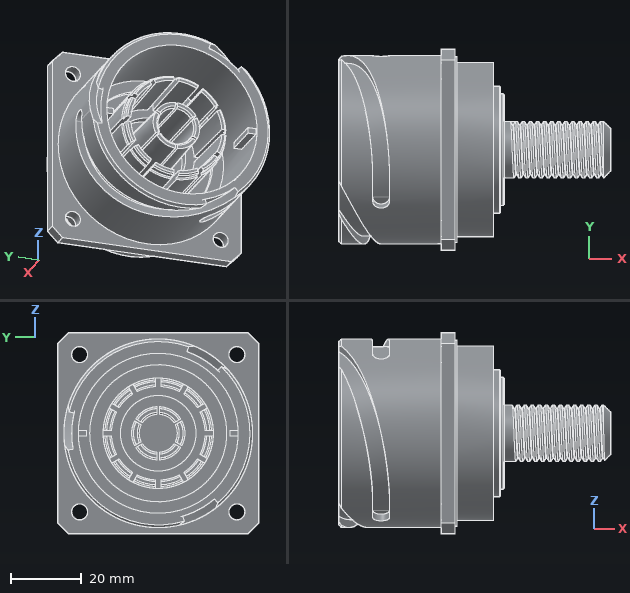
import cadquery as cq
import math

TOTAL_LENGTH = 77.0
SHELL_RADIUS = 26.7
SHELL_CHAMFER = 0.8
SHELL_BORE_RADIUS = 22.6
SHELL_BORE_DEPTH = 27.7
FLOOR_RECESS_RADIUS = 19.4
FLOOR_DEPTH = 29.25

FLANGE_START = 28.95
FLANGE_END = 32.95
FLANGE_SIZE = 57.0
FLANGE_CORNER_CHAMFER = 3.1
MOUNT_HOLE_SPACING = 44.5
MOUNT_HOLE_DIAMETER = 4.5

FLANGE_LIP_RADIUS = 26.3
FLANGE_LIP_END = 33.5
REAR_RADIUS = 24.7
REAR_END = 43.8
COLLAR_RADIUS = 18.0
COLLAR_END = 45.7
COLLAR_CHAMFER = 0.2
NUT_FACE_RADIUS = 15.9
NUT_FACE_END = 46.9
NUT_FACE_CHAMFER = 0.4

STUD_RADIUS = 8.0
STUD_CHAMFER = 2.0
THREAD_PITCH = 2.0
THREAD_DEPTH = 0.9
THREAD_ROOT_WIDTH = 0.2
THREAD_MOUTH_WIDTH = 1.4
THREAD_START = 49.3
THREAD_TURNS = 13
THREAD_OVERCUT = 0.2

SLOT_COUNT = 3
SLOT_WIDTH = 4.8
SLOT_FLOOR_RADIUS = 24.5
SLOT_TOP_RADIUS = 28.5
SLOT_END_X = 12.0
SLOT_END_ANGLE = 123.0
SLOT_LEVEL_ANGLE = 14.0
SLOT_MOUTH_ANGLE = 122.0
SLOT_TOTAL_ANGLE = 144.0
SLOT_STEPS = 36

KEY_START = 1.0
KEY_LENGTH = 11.7
KEY_WIDTH = 1.7
KEY_HEIGHT = 2.4

FINGER_COUNT = 12
FINGER_GAP = 1.55
FINGER_TIP = 4.6
FINGER_BASE = 26.2
FINGER_RADIUS = 15.6
FINGER_BEAD_RADIUS = 15.1
FINGER_BEAD_END = 6.9
FINGER_TIP_RADIUS = 14.6
FINGER_TIP_CHAMFER = 0.5
FINGER_TIP_BORE_RADIUS = 13.7
FINGER_BASE_BORE_RADIUS = 13.25
BOSS_BORE_RADIUS = 10.7

TUBE_GAP_COUNT = 6
TUBE_GAP = 0.7
TUBE_TIP = 4.6
TUBE_BASE_RADIUS = 7.55
TUBE_TIP_RADIUS = 7.0
TUBE_MOUTH_RADIUS = 5.9
TUBE_BORE_RADIUS = 5.4


def revolve_about_x(points):
    """Solid of revolution about X of a closed (x, radius) outline."""
    return cq.Workplane("XY").polyline(points).close().revolve(360, (0, 0, 0), (1, 0, 0))


def cylinder_x(radius, start, end):
    """Cylinder along the X axis."""
    return cq.Workplane("YZ", origin=(start, 0, 0)).circle(radius).extrude(end - start)


def radial_gaps(count, width, outer_radius, start, end):
    """Slabs from the axis outward, evenly spaced about X, the first one toward +Z."""
    slab = cq.Workplane("XY").box(end - start, width, outer_radius, centered=(False, True, False))
    slab = slab.translate((start, 0, 0))
    gaps = slab
    for i in range(1, count):
        gaps = gaps.union(slab.rotate((0, 0, 0), (1, 0, 0), i * 360 / count))
    return gaps


def make_shell_and_stud():
    outline = [
        (SHELL_BORE_DEPTH, 0),
        (SHELL_BORE_DEPTH, SHELL_BORE_RADIUS),
        (0, SHELL_BORE_RADIUS),
        (0, SHELL_RADIUS - SHELL_CHAMFER),
        (SHELL_CHAMFER, SHELL_RADIUS),
        (FLANGE_END, SHELL_RADIUS),
        (FLANGE_END, FLANGE_LIP_RADIUS),
        (FLANGE_LIP_END, FLANGE_LIP_RADIUS),
        (FLANGE_LIP_END, REAR_RADIUS),
        (REAR_END, REAR_RADIUS),
        (REAR_END, COLLAR_RADIUS),
        (COLLAR_END - COLLAR_CHAMFER, COLLAR_RADIUS),
        (COLLAR_END, COLLAR_RADIUS - COLLAR_CHAMFER),
        (COLLAR_END, NUT_FACE_RADIUS),
        (NUT_FACE_END - NUT_FACE_CHAMFER, NUT_FACE_RADIUS),
        (NUT_FACE_END, NUT_FACE_RADIUS - NUT_FACE_CHAMFER),
        (NUT_FACE_END, STUD_RADIUS),
        (TOTAL_LENGTH - STUD_CHAMFER, STUD_RADIUS),
        (TOTAL_LENGTH, STUD_RADIUS - STUD_CHAMFER),
        (TOTAL_LENGTH, 0),
    ]
    recess = cylinder_x(FLOOR_RECESS_RADIUS, SHELL_BORE_DEPTH, FLOOR_DEPTH)
    return revolve_about_x(outline).cut(recess)


def make_flange():
    plate = (
        cq.Workplane("YZ", origin=(FLANGE_START, 0, 0))
        .rect(FLANGE_SIZE, FLANGE_SIZE)
        .circle(SHELL_BORE_RADIUS)
        .extrude(FLANGE_END - FLANGE_START)
        .edges("|X and (>Y or <Y)")
        .chamfer(FLANGE_CORNER_CHAMFER)
    )
    holes = (
        cq.Workplane("YZ", origin=(FLANGE_START, 0, 0))
        .rect(MOUNT_HOLE_SPACING, MOUNT_HOLE_SPACING, forConstruction=True)
        .vertices()
        .circle(MOUNT_HOLE_DIAMETER / 2)
        .extrude(FLANGE_END - FLANGE_START)
    )
    return plate.cut(holes)


def make_keys():
    inner = SHELL_BORE_RADIUS - KEY_HEIGHT
    outer = (SHELL_BORE_RADIUS + SLOT_FLOOR_RADIUS) / 2
    key = cq.Workplane("XY").box(KEY_LENGTH, outer - inner, KEY_WIDTH, centered=(False, False, True))
    key = key.translate((KEY_START, inner, 0))
    return key.union(key.mirror("XZ"))


def make_outer_contact():
    outline = [
        (FLOOR_DEPTH, BOSS_BORE_RADIUS),
        (FINGER_BASE, BOSS_BORE_RADIUS),
        (FINGER_BASE, FINGER_BASE_BORE_RADIUS),
        (FINGER_TIP, FINGER_TIP_BORE_RADIUS),
        (FINGER_TIP, FINGER_TIP_RADIUS),
        (FINGER_TIP + FINGER_TIP_CHAMFER, FINGER_BEAD_RADIUS),
        (FINGER_BEAD_END, FINGER_BEAD_RADIUS),
        (FINGER_BEAD_END, FINGER_RADIUS),
        (FLOOR_DEPTH, FINGER_RADIUS),
    ]
    gaps = radial_gaps(FINGER_COUNT, FINGER_GAP, FLOOR_RECESS_RADIUS, FINGER_TIP, FINGER_BASE)
    return revolve_about_x(outline).cut(gaps)


def make_centre_contact():
    mouth_bevel = TUBE_MOUTH_RADIUS - TUBE_BORE_RADIUS
    outline = [
        (FLOOR_DEPTH, TUBE_BORE_RADIUS),
        (TUBE_TIP + mouth_bevel, TUBE_BORE_RADIUS),
        (TUBE_TIP, TUBE_MOUTH_RADIUS),
        (TUBE_TIP, TUBE_TIP_RADIUS),
        (FLOOR_DEPTH, TUBE_BASE_RADIUS),
    ]
    gaps = radial_gaps(TUBE_GAP_COUNT, TUBE_GAP, BOSS_BORE_RADIUS, TUBE_TIP, FLOOR_DEPTH)
    return revolve_about_x(outline).cut(gaps)


def point_about_x(x, radius, angle):
    return cq.Vector(x, radius * math.cos(angle), radius * math.sin(angle))


def ruled_bar(corners):
    """Four-sided solid stretched between four long edges, given in order around its section.

    Each long edge is a list of curves that follow one another.
    """
    faces = []
    for i in range(4):
        for one_side, other_side in zip(corners[i - 1], corners[i]):
            faces.append(cq.Face.makeRuledSurface(one_side, other_side))
    start_points = [curves[0].startPoint() for curves in corners]
    end_points = [curves[-1].endPoint() for curves in corners]
    for ends in (start_points, end_points):
        first_line = cq.Edge.makeLine(ends[0], ends[1])
        second_line = cq.Edge.makeLine(ends[3], ends[2])
        faces.append(cq.Face.makeRuledSurface(first_line, second_line))
    return cq.Solid.makeSolid(cq.Shell.makeShell(faces))


def slot_edge(side, radius):
    """One long edge of a bayonet slot at a given radius; side is -1 or +1.

    The centre line keeps X constant at its closed end, then falls away as a parabola toward X = 0.
    """
    mid_radius = (SLOT_FLOOR_RADIUS + SHELL_RADIUS) / 2
    level = math.radians(SLOT_LEVEL_ANGLE)
    curve = SLOT_END_X / (math.radians(SLOT_MOUTH_ANGLE) - level) ** 2
    points = []
    for i in range(SLOT_STEPS + 1):
        turn = math.radians(SLOT_TOTAL_ANGLE) * i / SLOT_STEPS
        fall = max(0.0, turn - level)
        lean = math.atan(2 * curve * fall / mid_radius)
        x = SLOT_END_X - curve * fall**2 + side * SLOT_WIDTH / 2 * math.cos(lean)
        angle = math.radians(SLOT_END_ANGLE) - turn - side * SLOT_WIDTH / 2 * math.sin(lean) / mid_radius
        points.append(point_about_x(x, radius, angle))
    return [cq.Edge.makeSpline(points)]


def make_slot_cutter():
    """Cutter with radial side walls and a round closed end."""
    channel = ruled_bar([
        slot_edge(-1, SLOT_FLOOR_RADIUS),
        slot_edge(1, SLOT_FLOOR_RADIUS),
        slot_edge(1, SLOT_TOP_RADIUS),
        slot_edge(-1, SLOT_TOP_RADIUS),
    ])
    end_angle = math.radians(SLOT_END_ANGLE)
    round_end = cq.Solid.makeCylinder(
        SLOT_WIDTH / 2,
        SLOT_TOP_RADIUS - SLOT_FLOOR_RADIUS,
        point_about_x(SLOT_END_X, SLOT_FLOOR_RADIUS, end_angle),
        point_about_x(0, 1, end_angle),
    )
    return cq.Workplane(channel).union(cq.Workplane(round_end))


def thread_edge(offset, radius):
    """Right-handed helix, turn by turn from +Y, shifted along X by offset."""
    turns = []
    for turn in range(THREAD_TURNS):
        start = cq.Vector(THREAD_START + offset + THREAD_PITCH * turn, 0, 0)
        helix = cq.Wire.makeHelix(THREAD_PITCH, THREAD_PITCH, radius, start, cq.Vector(1, 0, 0))
        turns.append(helix.rotate(cq.Vector(), cq.Vector(1, 0, 0), -90).Edges()[0])
    return turns


def make_thread_groove():
    """Trapezoidal helical cutter that reaches a little outside the stud."""
    flank_slope = (THREAD_MOUTH_WIDTH - THREAD_ROOT_WIDTH) / 2 / THREAD_DEPTH
    half_root = THREAD_ROOT_WIDTH / 2
    half_top = THREAD_MOUTH_WIDTH / 2 + flank_slope * THREAD_OVERCUT
    root_radius = STUD_RADIUS - THREAD_DEPTH
    top_radius = STUD_RADIUS + THREAD_OVERCUT
    groove = ruled_bar([
        thread_edge(-half_root, root_radius),
        thread_edge(half_root, root_radius),
        thread_edge(half_top, top_radius),
        thread_edge(-half_top, top_radius),
    ])
    return cq.Workplane(groove)


slot_cutter = make_slot_cutter()
body = make_shell_and_stud().cut(make_thread_groove())
for slot in range(SLOT_COUNT):
    body = body.cut(slot_cutter.rotate((0, 0, 0), (1, 0, 0), slot * 360 / SLOT_COUNT))

result = body.union(make_flange()).union(make_keys())
result = result.union(make_outer_contact()).union(make_centre_contact())